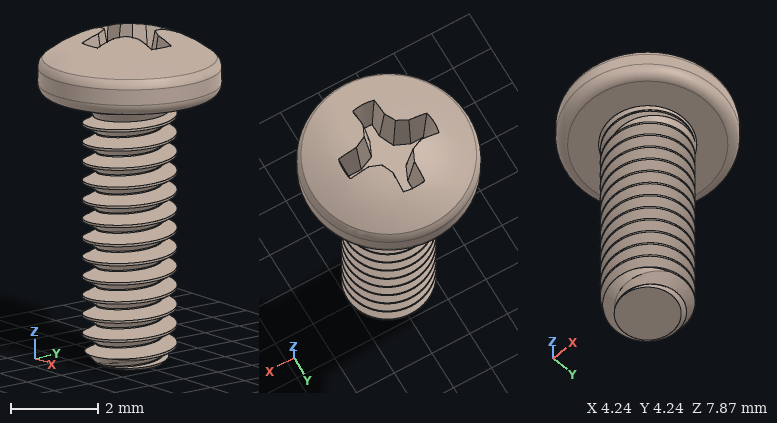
import cadquery as cq
import math

INCH = 25.4

head_diameter = 4.24
head_height = 0.062 * INCH
dome_radius = 3.22
head_edge_fillet = 0.28

shank_length = INCH / 4
thread_diameter = 2.184
pitch = INCH / 56
crest_width = pitch / 8
root_width = pitch / 16
flank_angle = math.radians(30)
crest_offset = -0.08
tip_diameter = 1.54

neck_diameter = 2.254
neck_half_angle = math.radians(30)

recess_floor = 0.5
arm_count = 4
mouth_arm_reach = 1.203
mouth_arm_half_width = 0.282
mouth_arm_root = 0.695
mouth_valley = 0.412
floor_arm_reach = 0.996
floor_arm_half_width = 0.128
floor_arm_root = 0.655
floor_valley = 0.29

thread_radius = thread_diameter / 2
root_radius = thread_radius - (pitch - crest_width - root_width) / 2 / math.tan(flank_angle)

profile_plane = cq.Plane(origin=(0, 0, 0), xDir=(-1, 0, 0), normal=(0, 1, 0))


def dome_height(radius):
    """Height of the dome surface at a distance from the axis."""
    return head_height - dome_radius + math.sqrt(dome_radius**2 - radius**2)


def make_head():
    """Domed pan head with rounded upper and lower edges."""
    rim_radius = head_diameter / 2
    mid_radius = rim_radius / 2
    return (
        cq.Workplane(profile_plane)
        .lineTo(rim_radius, 0)
        .lineTo(rim_radius, dome_height(rim_radius))
        .threePointArc((mid_radius, dome_height(mid_radius)), (0, head_height))
        .close()
        .revolve(360, (0, 0), (0, 1))
        .faces("%CYLINDER")
        .edges("%CIRCLE")
        .fillet(head_edge_fillet)
    )


def make_blank():
    """Unthreaded shank with a 45 degree point."""
    tip_radius = tip_diameter / 2
    point_height = thread_radius - tip_radius
    return (
        cq.Workplane(profile_plane)
        .lineTo(thread_radius, 0)
        .lineTo(thread_radius, -shank_length + point_height)
        .lineTo(tip_radius, -shank_length)
        .lineTo(0, -shank_length)
        .close()
        .revolve(360, (0, 0), (0, 1))
    )


def make_thread_groove():
    """Right-hand helical groove, running past both ends of the shank."""
    clearance = 0.02
    turns_below = math.ceil(shank_length / pitch) + 1
    start = crest_offset + pitch / 2 - turns_below * pitch
    length = (turns_below + 1) * pitch
    half_root = root_width / 2
    outer_radius = thread_radius + clearance
    half_mouth = half_root + (outer_radius - root_radius) * math.tan(flank_angle)
    helix = cq.Wire.makeHelix(pitch, length, root_radius, cq.Vector(0, 0, start))
    return (
        cq.Workplane("XZ")
        .moveTo(root_radius, start - half_root)
        .lineTo(outer_radius, start - half_mouth)
        .lineTo(outer_radius, start + half_mouth)
        .lineTo(root_radius, start + half_root)
        .close()
        .sweep(cq.Workplane(helix), isFrenet=True)
    )


def make_neck():
    """Cone that tapers from the underside of the head to the thread root."""
    neck_radius = neck_diameter / 2
    neck_length = (neck_radius - root_radius) / math.tan(neck_half_angle)
    return (
        cq.Workplane(profile_plane)
        .lineTo(neck_radius, 0)
        .lineTo(root_radius, -neck_length)
        .lineTo(0, -neck_length)
        .close()
        .revolve(360, (0, 0), (0, 1))
    )


def arm_points(reach, half_width, root, valley):
    """One arm along +X: root, end corner, end middle, end corner, root, valley."""
    corner = math.sqrt(reach**2 - half_width**2)
    return [
        (root, -half_width),
        (corner, -half_width),
        (reach, 0),
        (corner, half_width),
        (root, half_width),
        (valley, valley),
    ]


def raised_point(floor_point, mouth_point):
    """Carry the wall line from floor to mouth on up to the height of the crown."""
    mouth_depth = dome_height(math.hypot(*mouth_point)) - recess_floor
    stretch = (head_height - recess_floor) / mouth_depth
    return tuple(f + (m - f) * stretch for f, m in zip(floor_point, mouth_point))


def quarter_turns(point, count):
    """Turn a point about the axis by a number of quarter turns."""
    x, y = point
    for _ in range(count):
        x, y = -y, x
    return (x, y)


def add_cross(plane, arm):
    """Draw the closed cross outline: one arm repeated at four quarter turns."""
    outline = plane.moveTo(*quarter_turns(arm[-1], arm_count - 1))
    for turn in range(arm_count):
        root, corner, end, far_corner, far_root, valley = [quarter_turns(p, turn) for p in arm]
        outline = outline.lineTo(*root).lineTo(*corner)
        outline = outline.threePointArc(end, far_corner)
        outline = outline.lineTo(*far_root).lineTo(*valley)
    return outline.close()


def make_recess():
    """Cross-shaped cutter whose walls taper down to a flat floor."""
    floor_arm = arm_points(floor_arm_reach, floor_arm_half_width, floor_arm_root, floor_valley)
    mouth_arm = arm_points(mouth_arm_reach, mouth_arm_half_width, mouth_arm_root, mouth_valley)
    crown_arm = [raised_point(f, m) for f, m in zip(floor_arm, mouth_arm)]
    floor = add_cross(cq.Workplane("XY").workplane(offset=recess_floor), floor_arm)
    crown_plane = floor.workplane(offset=head_height - recess_floor)
    return add_cross(crown_plane, crown_arm).loft(ruled=True)


shank = make_blank().cut(make_thread_groove())
result = make_head().union(shank).union(make_neck()).cut(make_recess())